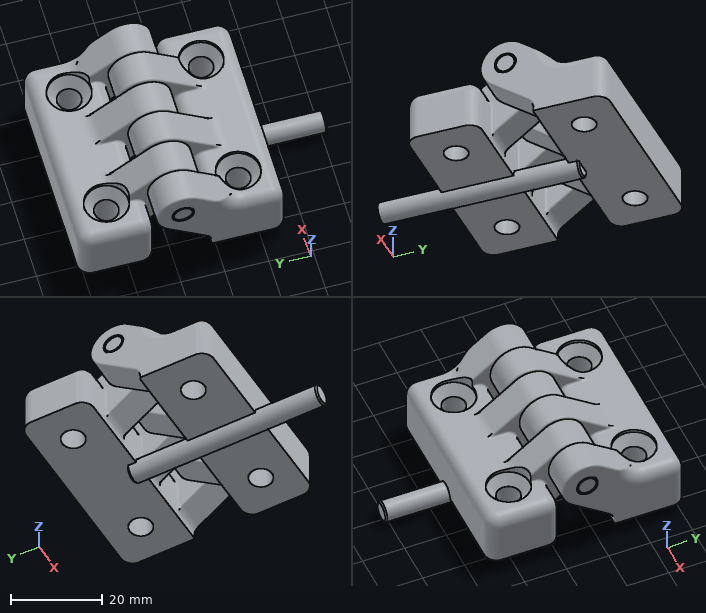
import cadquery as cq
import math

leaf_width = 47.95
leaf_length = 17.0
leaf_height = 12.5
near_wall = -6.5
side_shift = 0.1
corner_radius = 3.0

knuckle_count = 3
knuckle_radius = 6.0
axis_height = 14.55
arm_angle = math.radians(36)
crest_radius = 5.0
root_radius = 3.0
edge_radius = 0.5

screw_diameter = 5.5
head_diameter = 10.0
head_depth = 0.75
cone_depth = (head_diameter - screw_diameter) / 2
screw_spacing = 30.0
screw_distance = 15.0

pin_diameter = 5.0
pin_length = 47.65
pin_chamfer = 0.4
loose_pin_end = -38.85

far_wall = near_wall - leaf_length
left_side = -leaf_width / 2
knuckle_pitch = leaf_width / knuckle_count
knuckle_width = knuckle_pitch / 2 - side_shift
knuckle_starts = [left_side + i * knuckle_pitch for i in range(knuckle_count)]

slope = math.tan(arm_angle)
upper_tangent = (-knuckle_radius * math.sin(arm_angle), axis_height + knuckle_radius * math.cos(arm_angle))
lower_tangent = (knuckle_radius * math.sin(arm_angle), axis_height - knuckle_radius * math.cos(arm_angle))
crest_z = leaf_height + crest_radius
crest_y = upper_tangent[0] + (crest_z - crest_radius / math.cos(arm_angle) - upper_tangent[1]) / slope
root_y = near_wall + root_radius
root_z = lower_tangent[1] + (root_y - lower_tangent[0]) * slope - root_radius / math.cos(arm_angle)


def crest_point(angle):
    """Point on the crest blend, at an angle from straight below its centre."""
    return (crest_y + crest_radius * math.sin(angle), crest_z - crest_radius * math.cos(angle))


def root_point(angle):
    """Point on the root blend, at an angle from straight above its centre."""
    return (root_y - root_radius * math.sin(angle), root_z + root_radius * math.cos(angle))


def make_plate():
    """Block with rounded top edges and corners, left square where the outermost knuckle stands."""
    plate = cq.Workplane("XY").box(leaf_width, leaf_length, leaf_height, centered=(True, False, False))
    plate = plate.translate((0, far_wall, 0))
    plate = plate.edges("|Z").edges("<Y or >X").fillet(corner_radius)
    return plate.faces(">Z").edges().fillet(corner_radius)


def make_knuckle(start_x):
    """Barrel with its arm; the arm's foot fills the plate up to the end of the crest blend."""
    barrel_far_point = (knuckle_radius * math.cos(arm_angle), axis_height + knuckle_radius * math.sin(arm_angle))
    root_middle = (arm_angle + math.pi / 2) / 2
    return (
        cq.Workplane("YZ", origin=(start_x, 0, 0))
        .moveTo(near_wall, 0)
        .lineTo(near_wall, root_z)
        .threePointArc(root_point(root_middle), root_point(arm_angle))
        .lineTo(*lower_tangent)
        .threePointArc(barrel_far_point, upper_tangent)
        .lineTo(*crest_point(arm_angle))
        .threePointArc(crest_point(arm_angle / 2), crest_point(0))
        .lineTo(crest_y, 0)
        .close()
        .extrude(knuckle_width)
    )


def make_crest_corner():
    """Material to remove so that the plate's left top round follows the crest and runs out in the arm."""
    sweep_angle = 100
    inset = corner_radius * (1 - math.sqrt(0.5))
    return (
        cq.Workplane("XZ")
        .moveTo(left_side, -crest_radius - corner_radius)
        .threePointArc(
            (left_side + inset, -crest_radius - inset),
            (left_side + corner_radius, -crest_radius),
        )
        .lineTo(left_side, -crest_radius)
        .close()
        .revolve(sweep_angle, (0, 0, 0), (1, 0, 0))
        .translate((0, crest_y, crest_z))
    )


def knuckle_side(x, y_min):
    """Selector for the edges that lie in the knuckle side plane at x, from y_min to the barrel."""
    slack = 0.005
    return cq.selectors.BoxSelector(
        (x - slack, y_min - slack, -slack),
        (x + slack, knuckle_radius + slack, axis_height + knuckle_radius + slack),
        boundingbox=True,
    )


def round_knuckle_edges(leaf):
    """Round the knuckle edges and fillet the feet of the arms, one knuckle side at a time."""
    sides = [knuckle_side(left_side, near_wall - edge_radius)]
    sides += [knuckle_side(start, crest_y) for start in knuckle_starts[1:]]
    sides += [knuckle_side(start + knuckle_width, crest_y) for start in knuckle_starts]
    for side in sides:
        leaf = leaf.edges(side).fillet(edge_radius)
    return leaf


def make_screw_cutter(x):
    """Through hole with a countersink, open above so that it also clears the arm beside it."""
    cone_top = leaf_height - head_depth
    return (
        cq.Workplane("XZ", origin=(x, -screw_distance, 0))
        .lineTo(screw_diameter / 2, 0)
        .lineTo(screw_diameter / 2, cone_top - cone_depth)
        .lineTo(head_diameter / 2, cone_top)
        .lineTo(head_diameter / 2, axis_height + knuckle_radius)
        .lineTo(0, axis_height + knuckle_radius)
        .close()
        .revolve(360, (0, 0, 0), (0, 1, 0))
    )


def make_leaf():
    """Leaf on the -Y side of the hinge axis."""
    leaf = make_plate()
    for start in knuckle_starts:
        leaf = leaf.union(make_knuckle(start))
    leaf = leaf.clean()
    leaf = leaf.cut(make_crest_corner())
    leaf = round_knuckle_edges(leaf)
    for x in (-screw_spacing / 2, screw_spacing / 2):
        leaf = leaf.cut(make_screw_cutter(x))
    bore = cq.Workplane("YZ").center(0, axis_height).circle(pin_diameter / 2).extrude(leaf_width, both=True)
    return leaf.cut(bore)


def make_pin():
    """Pin along +X from the origin, chamfered at both ends."""
    pin = cq.Workplane("YZ").circle(pin_diameter / 2).extrude(pin_length)
    return pin.edges().chamfer(pin_chamfer)


hinge_pin = make_pin().translate((-pin_length / 2, 0, axis_height))
loose_pin = make_pin().rotate((0, 0, 0), (0, 0, 1), 90).translate((side_shift, loose_pin_end, 0))

near_leaf = make_leaf().translate((side_shift, 0, 0))
far_leaf = near_leaf.rotate((0, 0, 0), (0, 0, 1), 180)

near_leaf = near_leaf.cut(loose_pin)
far_leaf = far_leaf.cut(loose_pin)

result = cq.Compound.makeCompound([near_leaf.val(), far_leaf.val(), hinge_pin.val(), loose_pin.val()])